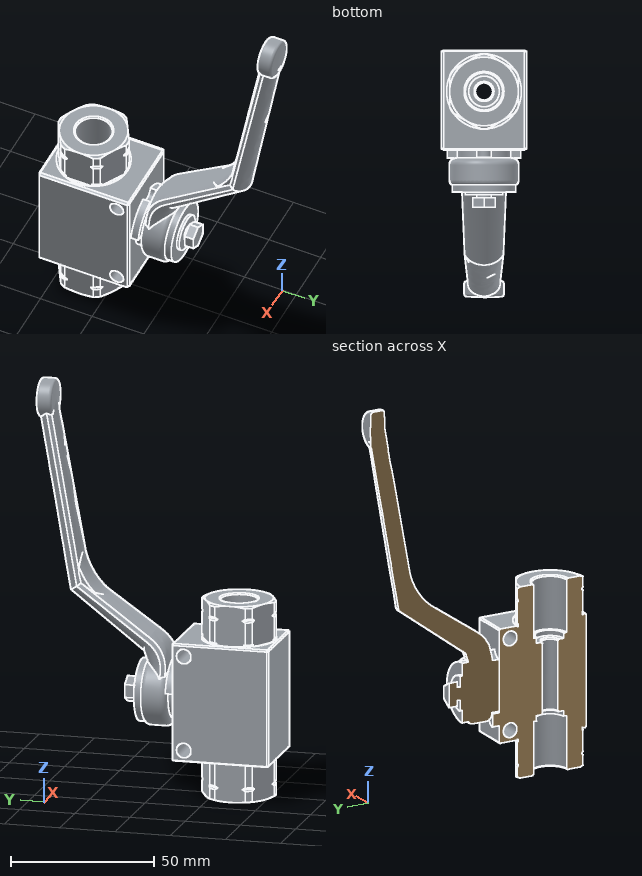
import cadquery as cq
import math


block_width = 30.0
block_depth = 35.0
block_height = 42.5
block_front = -14.5
block_back = block_front + block_depth
side_bevel_depth = 1.0
side_bevel_inset = 0.5
block_corner_chamfer = 0.5

fitting_end = 35.5
fitting_flats = 24.0
fitting_dia = 26.4
fitting_face_dia = 24.0
fitting_face_chamfer = 0.5
groove_height_on_axis = 30.5
groove_half_width = 0.65
groove_dia = 25.6
neck_dia = 25.9
neck_length = 0.5
spotface_dia = 26.2
spotface_depth = 0.3

port_dia = 13.0
port_mouth_dia = 14.0
port_depth = 20.0
seat_bore_dia = 10.72
seat_bore_depth = 2.0
flow_bore_dia = 6.0
flow_bore_mouth_dia = 7.0

mount_hole_dia = 5.25
mount_hole_y = 16.0
mount_hole_z = 17.0

stop_pin_dia = 5.0
stop_pin_z = -12.2
stop_pin_length = 2.5

collar_dia = 18.7
stop_disc_dia = 26.2
stop_disc_back = 23.3
stop_disc_edge_z = stop_pin_dia / 2
stop_notch_dia = 6.0

hub_dia = 24.4
hub_front = 23.25
hub_back = 32.85
hub_front_fillet = 2.4
hub_back_fillet = 1.8

cap_dia = 22.3
cap_back = 35.2
washer_dia = 13.0
washer_back = 36.15
screw_dia = 5.0
screw_head_flats = 8.0
screw_head_front = 37.1
screw_head_back = 40.4

knob_dia = 14.0
knob_y = 69.02
knob_z = 103.25
knob_rim_thickness = 5.4
knob_crown_thickness = 6.04
knob_fillet = 1.0

knee_radius = 24.0
knee_web_root_depth = 3.0
arm_crown = 1.5
arm_corner_inset = 0.8
arm_corner_drop = 1.7

arm_top = ((72.0, 99.0), (66.0, 103.0), 11.0)
arm_knee = ((60.7, 34.8), (54.4, 39.4), 13.7)
arm_elbow = ((33.9, 14.4), (29.9, 22.2), 15.8)
arm_bend = ((32.7, 10.6), (25.4, 17.9), 16.8)
arm_root = ((32.4, 3.0), (24.0, 3.0), 22.0)


def y_cylinder(diameter, y_start, y_end, z=0.0):
    """Cylinder along Y between two Y positions."""
    return (
        cq.Workplane("XZ", origin=(0, y_start, z))
        .circle(diameter / 2)
        .extrude(y_start - y_end)
    )


def make_block():
    """Block with beveled borders around its two X faces."""
    block_y = (block_front + block_back) / 2
    core_half = block_width / 2 - side_bevel_depth
    bevel_angle = math.degrees(math.atan2(side_bevel_inset, side_bevel_depth))
    core = (
        cq.Workplane("XY")
        .box(2 * core_half, block_depth, block_height)
        .edges("|X")
        .chamfer(block_corner_chamfer)
    )
    for side in (">X", "<X"):
        border = core.faces(side).wires().toPending().workplane()
        core = border.extrude(side_bevel_depth, taper=bevel_angle)
    return core.translate((0, block_y, 0))


def make_fitting():
    """Hexagonal fitting with turned corners, end chamfer, marking groove and neck."""
    radius = fitting_dia / 2
    block_top = block_height / 2
    turned = (
        cq.Workplane("XZ")
        .moveTo(0, 0)
        .lineTo(neck_dia / 2, 0)
        .lineTo(neck_dia / 2, block_top + neck_length)
        .lineTo(radius, block_top + neck_length)
        .lineTo(radius, groove_height_on_axis - groove_half_width)
        .lineTo(groove_dia / 2, groove_height_on_axis)
        .lineTo(radius, groove_height_on_axis + groove_half_width)
        .lineTo(radius, fitting_end - fitting_face_chamfer)
        .lineTo(fitting_face_dia / 2, fitting_end)
        .lineTo(0, fitting_end)
        .close()
        .revolve(360, (0, 0, 0), (0, 1, 0))
    )
    corner_dia = fitting_flats / math.cos(math.pi / 6)
    hexagon = (
        cq.Workplane("XY")
        .transformed(rotate=(0, 0, 90))
        .polygon(6, corner_dia)
        .extrude(fitting_end)
    )
    return turned.intersect(hexagon)


def make_port():
    """Port bore with a chamfered mouth, stepping down through the seat bore to the flow bore."""
    mouth_step = (port_mouth_dia - port_dia) / 2
    bore_step = (flow_bore_mouth_dia - flow_bore_dia) / 2
    port_floor = fitting_end - port_depth
    seat_floor = port_floor - seat_bore_depth
    return (
        cq.Workplane("XZ")
        .moveTo(0, 0)
        .lineTo(flow_bore_dia / 2, 0)
        .lineTo(flow_bore_dia / 2, seat_floor - bore_step)
        .lineTo(flow_bore_mouth_dia / 2, seat_floor)
        .lineTo(seat_bore_dia / 2, seat_floor)
        .lineTo(seat_bore_dia / 2, port_floor)
        .lineTo(port_dia / 2, port_floor)
        .lineTo(port_dia / 2, fitting_end - mouth_step)
        .lineTo(port_mouth_dia / 2, fitting_end)
        .lineTo(0, fitting_end)
        .close()
        .revolve(360, (0, 0, 0), (0, 1, 0))
    )


def make_spotface():
    """Shallow round recess in the block top that surrounds the fitting."""
    return (
        cq.Workplane("XY", origin=(0, 0, block_height / 2 - spotface_depth))
        .circle(spotface_dia / 2)
        .extrude(spotface_depth)
    )


def make_housing():
    fitting = make_fitting()
    port = make_port()
    spotface = make_spotface()
    block = make_block().cut(spotface).cut(spotface.mirror("XY"))
    housing = block.union(fitting).union(fitting.mirror("XY"))
    housing = housing.cut(port).cut(port.mirror("XY"))
    mount_holes = (
        cq.Workplane("YZ", origin=(-block_width / 2, 0, 0))
        .pushPoints([(mount_hole_y, mount_hole_z), (mount_hole_y, -mount_hole_z)])
        .circle(mount_hole_dia / 2)
        .extrude(block_width)
    )
    stop_pin = y_cylinder(stop_pin_dia, block_back, block_back + stop_pin_length, z=stop_pin_z)
    return housing.cut(mount_holes).union(stop_pin)


def arm_section(station):
    """Closed arm outline: crowned inner face, small corners, deeply rounded outer face."""
    (outer_y, outer_z), (inner_y, inner_z), width = station
    thickness = math.hypot(inner_y - outer_y, inner_z - outer_z)
    inward = cq.Vector(0, inner_y - outer_y, inner_z - outer_z)
    plane = cq.Plane(
        origin=(0, outer_y, outer_z),
        xDir=(1, 0, 0),
        normal=cq.Vector(1, 0, 0).cross(inward),
    )
    face_edge = thickness - arm_crown
    side_edge = face_edge - arm_corner_drop
    half = width / 2
    return (
        cq.Workplane(plane)
        .moveTo(-half + arm_corner_inset, face_edge)
        .threePointArc((0, thickness), (half - arm_corner_inset, face_edge))
        .lineTo(half, side_edge)
        .threePointArc((0, 0), (-half, side_edge))
        .close()
        .wires()
        .val()
    )


def loft_arm(*stations, ruled=True):
    sections = [arm_section(station) for station in stations]
    return cq.Workplane(cq.Solid.makeLoft(sections, ruled))


def point_toward(start, end, distance):
    """Point at a distance from start on the line to end."""
    share = distance / math.dist(start, end)
    return tuple(a + share * (b - a) for a, b in zip(start, end))


def make_knee_web():
    """Web that rounds the inside of the knee, with the same crown as the arm."""
    top, knee, elbow = arm_top[1], arm_knee[1], arm_elbow[1]
    corner = cq.Vector(0, *knee)
    upward = (cq.Vector(0, *top) - corner).normalized()
    downward = (cq.Vector(0, *elbow) - corner).normalized()
    half_angle = upward.getAngle(downward) / 2
    reach = knee_radius / math.tan(half_angle)
    center = corner + (upward + downward).normalized() * (knee_radius / math.sin(half_angle))

    half_width = arm_knee[2] / 2 - arm_corner_inset
    web_root = point_toward(knee, arm_knee[0], knee_web_root_depth)
    web = (
        cq.Workplane("YZ", origin=(-half_width, 0, 0))
        .polyline([point_toward(knee, top, reach), web_root, point_toward(knee, elbow, reach)])
        .close()
        .extrude(2 * half_width)
    )
    edge_radius = knee_radius + arm_crown
    hollow = (
        cq.Workplane("XY", origin=center)
        .moveTo(-half_width, 0)
        .lineTo(-half_width, edge_radius)
        .threePointArc((0, knee_radius), (half_width, edge_radius))
        .lineTo(half_width, 0)
        .close()
        .revolve(360, (0, 0, 0), (1, 0, 0))
    )
    return web.cut(hollow)


def make_arm():
    """Two straight tapered lengths joined by a rounded knee, and a bend into the hub."""
    arm = loft_arm(arm_top, arm_knee).union(loft_arm(arm_knee, arm_elbow))
    arm = arm.union(make_knee_web())
    return arm.union(loft_arm(arm_elbow, arm_bend, arm_root, ruled=False))


def make_knob():
    """Round knob with slightly crowned faces."""
    rim_half = knob_rim_thickness / 2
    crown_half = knob_crown_thickness / 2
    radius = knob_dia / 2
    crown_rise = crown_half - rim_half
    crown_radius = (radius**2 + crown_rise**2) / (2 * crown_rise)
    mid_r = radius / 2
    mid_y = crown_half - crown_radius + math.sqrt(crown_radius**2 - mid_r**2)
    return (
        cq.Workplane("XY")
        .moveTo(0, -crown_half)
        .threePointArc((mid_r, -mid_y), (radius, -rim_half))
        .lineTo(radius, rim_half)
        .threePointArc((mid_r, mid_y), (0, crown_half))
        .close()
        .revolve(360, (0, 0, 0), (0, 1, 0))
        .edges()
        .fillet(knob_fillet)
        .translate((0, knob_y, knob_z))
    )


def make_stop_disc():
    """Upper part of a disc whose lower edges stop against the pin, with a notch on top."""
    disc = y_cylinder(stop_disc_dia, block_back, stop_disc_back)
    upper = cq.Workplane("XY").box(
        stop_disc_dia, 2 * stop_disc_back, stop_disc_dia, centered=(True, True, False)
    )
    notch = y_cylinder(stop_notch_dia, block_back, stop_disc_back, z=stop_disc_dia / 2)
    return disc.intersect(upper.translate((0, 0, stop_disc_edge_z))).cut(notch)


def make_hub():
    return (
        y_cylinder(hub_dia, hub_front, hub_back)
        .faces("<Y")
        .edges()
        .fillet(hub_front_fillet)
        .faces(">Y")
        .edges()
        .fillet(hub_back_fillet)
    )


def make_screw():
    """Hexagon-head screw standing off from its washer."""
    shank = y_cylinder(screw_dia, cap_back, screw_head_front)
    head = (
        cq.Workplane("XZ", origin=(0, screw_head_front, 0))
        .transformed(rotate=(0, 0, 90))
        .polygon(6, screw_head_flats / math.cos(math.pi / 6))
        .extrude(screw_head_front - screw_head_back)
    )
    return shank.union(head)


def make_lever():
    lever = make_hub().union(make_arm()).union(make_knob())
    lever = lever.union(y_cylinder(collar_dia, block_back, hub_back)).union(make_stop_disc())
    lever = lever.union(y_cylinder(cap_dia, hub_back - hub_back_fillet, cap_back))
    lever = lever.union(y_cylinder(washer_dia, cap_back, washer_back))
    return lever.union(make_screw())


housing = make_housing()
lever = make_lever()
result = cq.Compound.makeCompound([housing.solids().val(), lever.solids().val()])